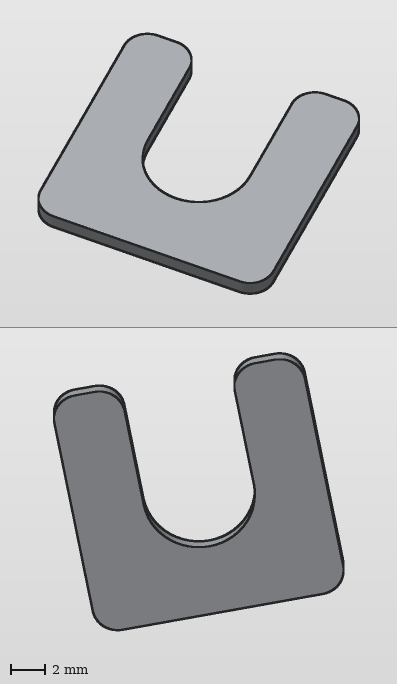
import cadquery as cq

side = 15.0
thickness = 1.0
corner_radius = 1.5
slot_width = 6.6

slot_radius = slot_width / 2
half_side = side / 2

plate = cq.Workplane("XY").rect(side, side).extrude(thickness)

slot = (
    cq.Workplane("XY")
    .moveTo(-slot_radius, half_side)
    .lineTo(-slot_radius, 0)
    .threePointArc((0, -slot_radius), (slot_radius, 0))
    .lineTo(slot_radius, half_side)
    .close()
    .extrude(thickness)
)

slotted_plate = plate.cut(slot)
end_corners = slotted_plate.edges("|Z").edges(">Y or <Y")
result = end_corners.fillet(corner_radius)